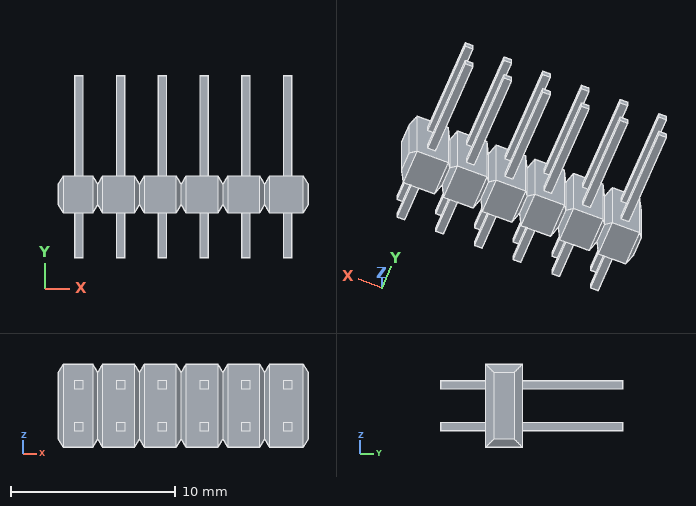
import cadquery as cq

PITCH = 2.54
COLUMNS = 6
ROWS = 2
PIN_SIZE = 0.508
PIN_FRONT_LENGTH = 2.73
PIN_BACK_LENGTH = 6.10

BODY_LENGTH = COLUMNS * PITCH
BODY_DEPTH = 2.27
BODY_HEIGHT = ROWS * PITCH
JOINT_SHIFT = 0.127
BEVEL_INSET = 0.51
END_BEVEL_LENGTH = 0.32
JOINT_BEVEL_LENGTH = 0.30


def bevelled_end(x_full, x_tip):
    """Four-sided taper from the full section at x_full to the reduced section at x_tip."""
    return (
        cq.Workplane("YZ", origin=(x_full, 0, 0))
        .rect(BODY_DEPTH, BODY_HEIGHT)
        .workplane(offset=x_tip - x_full)
        .rect(BODY_DEPTH - 2 * BEVEL_INSET, BODY_HEIGHT - 2 * BEVEL_INSET)
        .loft(ruled=True)
    )


def block(x_left, x_right, left_bevel, right_bevel):
    """One body block: a full-section box with a taper at each X end."""
    full_left = x_left + left_bevel
    full_right = x_right - right_bevel
    section = cq.Workplane("YZ", origin=(full_left, 0, 0)).rect(BODY_DEPTH, BODY_HEIGHT)
    return (
        section.extrude(full_right - full_left)
        .union(bevelled_end(full_left, x_left))
        .union(bevelled_end(full_right, x_right))
    )


def pin(x, z):
    """Straight square pin running through the body along Y."""
    length = PIN_FRONT_LENGTH + BODY_DEPTH + PIN_BACK_LENGTH
    y_middle = (PIN_BACK_LENGTH - PIN_FRONT_LENGTH) / 2
    return cq.Workplane("XY").box(PIN_SIZE, length, PIN_SIZE).translate((x, y_middle, z))


def make_body():
    """All blocks in a row; the outermost ends carry the longer end bevel."""
    joints = [-BODY_LENGTH / 2 + i * PITCH - JOINT_SHIFT for i in range(1, COLUMNS)]
    edges = [-BODY_LENGTH / 2, *joints, BODY_LENGTH / 2]
    bevels = [END_BEVEL_LENGTH, *[JOINT_BEVEL_LENGTH] * len(joints), END_BEVEL_LENGTH]
    body = cq.Workplane("XY")
    for i in range(COLUMNS):
        body = body.union(block(edges[i], edges[i + 1], bevels[i], bevels[i + 1]))
    return body


def add_pins(body):
    """Add one pin at every position of the grid."""
    for column in range(COLUMNS):
        x = (column - (COLUMNS - 1) / 2) * PITCH
        for row in range(ROWS):
            z = (row - (ROWS - 1) / 2) * PITCH
            body = body.union(pin(x, z))
    return body


result = add_pins(make_body())